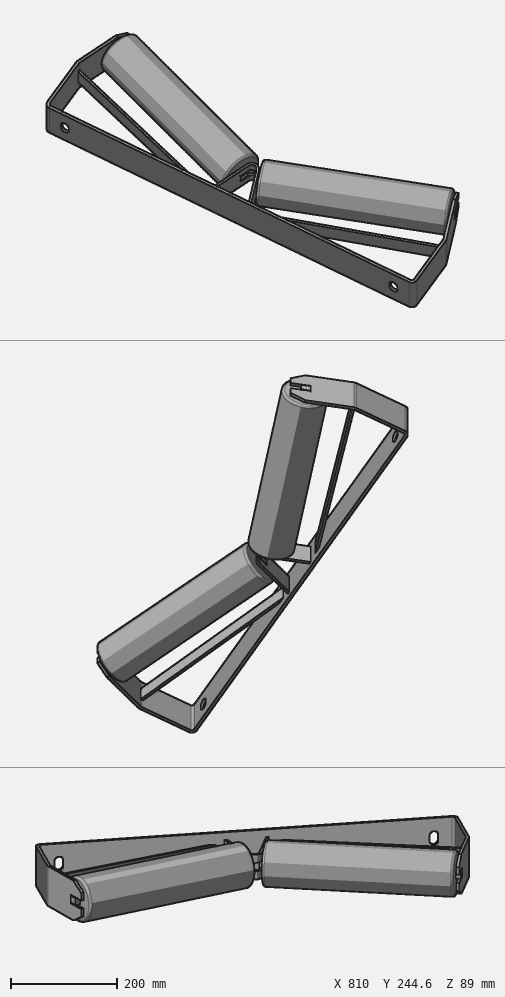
import cadquery as cq
import math


frame_length = 810.0
strip_thickness = 6.0
strip_width = 80.0
corner_outer_radius = 11.0
shoulder_outer_radius = 14.0
shoulder_height = 119.6
trough_angle = 20.0
arm_length = 123.0
arm_chamfer_along = 28.0
arm_chamfer_across = 16.0

mounting_slot_spacing = 720.0
mounting_slot_width = 17.0
mounting_slot_length = 27.0

roller_diameter = 89.0
roller_length = 365.0
roller_edge_radius = 5.0
roller_end_gap = 4.0
shaft_depth = 18.0
shaft_width = 14.0
seat_along_arm = 93.65
shaft_slot_width = 17.0

bracket_thickness = 5.0
bracket_width = 50.0
bracket_outer_radius = 14.0

strut_thickness = 5.0
strut_height = 34.0
strut_angle = 18.5

half_length = frame_length / 2
inner_half_length = half_length - strip_thickness
half_shaft_depth = shaft_depth / 2
sin_trough = math.sin(math.radians(trough_angle))
cos_trough = math.cos(math.radians(trough_angle))
tan_trough = sin_trough / cos_trough
shaft_length = strip_thickness + roller_length + 2 * roller_end_gap + bracket_thickness
bracket_face_along = shaft_length - bracket_thickness

seat_x = -half_length + seat_along_arm * sin_trough
seat_y = shoulder_height + seat_along_arm * cos_trough
left_axis = cq.Plane(
    origin=(seat_x, seat_y, 0),
    xDir=(sin_trough, cos_trough, 0),
    normal=(cos_trough, -sin_trough, 0),
)


def mirrored(left_body):
    return left_body.mirror("YZ")


def shaft_slot(start_along, depth, opening_length):
    """Cutter for an open-ended slot that seats the left shaft, starting along its axis."""
    return (
        cq.Workplane(left_axis)
        .workplane(offset=start_along)
        .center((opening_length - half_shaft_depth) / 2, 0)
        .rect(opening_length + half_shaft_depth, shaft_slot_width)
        .extrude(depth)
    )


def make_frame():
    arm_tip = (-half_length + arm_length * sin_trough, shoulder_height + arm_length * cos_trough)
    inner_shoulder = shoulder_height - strip_thickness * math.tan(math.radians(trough_angle / 2))
    inner_tip = (arm_tip[0] + strip_thickness * cos_trough, arm_tip[1] - strip_thickness * sin_trough)
    left_outline = [arm_tip, (-half_length, shoulder_height), (-half_length, 0)]
    left_inside = [(-inner_half_length, strip_thickness), (-inner_half_length, inner_shoulder), inner_tip]
    outside = left_outline + [(-x, y) for x, y in reversed(left_outline)]
    inside = [(-x, y) for x, y in reversed(left_inside)] + left_inside
    strip = (
        cq.Workplane("XY")
        .polyline(outside + inside)
        .close()
        .extrude(strip_width / 2, both=True)
    )

    bends = [
        (half_length, 0, corner_outer_radius),
        (inner_half_length, strip_thickness, corner_outer_radius - strip_thickness),
        (half_length, shoulder_height, shoulder_outer_radius),
        (inner_half_length, inner_shoulder, shoulder_outer_radius - strip_thickness),
    ]
    for x, y, radius in bends:
        for side in (-1, 1):
            bend_edge = cq.selectors.NearestToPointSelector((side * x, y, 0))
            strip = strip.edges(bend_edge).fillet(radius)

    beyond_seat = arm_length - seat_along_arm
    half_width = strip_width / 2
    for side in (-1, 1):
        taper = (
            cq.Workplane(left_axis)
            .polyline([
                (beyond_seat - arm_chamfer_along, side * half_width),
                (beyond_seat, side * half_width),
                (beyond_seat, side * (half_width - arm_chamfer_across)),
            ])
            .close()
            .extrude(strip_thickness)
        )
        strip = strip.cut(taper).cut(mirrored(taper))
    arm_slot = shaft_slot(0, strip_thickness, beyond_seat)
    strip = strip.cut(arm_slot).cut(mirrored(arm_slot))

    mounting_slots = (
        cq.Workplane("XZ")
        .pushPoints([(-mounting_slot_spacing / 2, 0), (mounting_slot_spacing / 2, 0)])
        .slot2D(mounting_slot_length, mounting_slot_width, angle=90)
        .extrude(-strip_thickness)
    )
    return strip.cut(mounting_slots)


def make_bracket():
    face_x = seat_x + bracket_face_along * cos_trough
    face_y = seat_y - bracket_face_along * sin_trough
    apex_y = face_y - face_x / tan_trough

    def folded_wedge(peak_y, radius):
        half_base = (peak_y - strip_thickness) * tan_trough
        return (
            cq.Workplane("XY")
            .polyline([(-half_base, strip_thickness), (0, peak_y), (half_base, strip_thickness)])
            .close()
            .extrude(bracket_width / 2, both=True)
            .edges(cq.selectors.NearestToPointSelector((0, peak_y, 0)))
            .fillet(radius)
        )

    outer = folded_wedge(apex_y, bracket_outer_radius)
    inner = folded_wedge(apex_y - bracket_thickness / sin_trough, bracket_outer_radius - bracket_thickness)
    slot_depth = -face_x / cos_trough
    slot = shaft_slot(bracket_face_along, slot_depth, apex_y - face_y)
    return outer.cut(inner).cut(slot).cut(mirrored(slot))


def make_left_strut(frame):
    start_x = -inner_half_length
    start_y = shoulder_height
    slope = math.tan(math.radians(strut_angle))
    drop = strut_thickness / math.cos(math.radians(strut_angle))
    top_foot_x = start_x + (start_y - strip_thickness) / slope
    bottom_foot_x = top_foot_x - drop / slope
    return (
        cq.Workplane("XY")
        .polyline([
            (start_x, start_y),
            (top_foot_x, strip_thickness),
            (bottom_foot_x, strip_thickness),
            (start_x, start_y - drop),
        ])
        .close()
        .extrude(strut_height / 2, both=True)
        .cut(frame)
    )


def make_left_roller():
    shaft = cq.Workplane(left_axis).rect(shaft_depth, shaft_width).extrude(shaft_length)
    roller = (
        cq.Workplane(left_axis)
        .workplane(offset=strip_thickness + roller_end_gap)
        .circle(roller_diameter / 2)
        .extrude(roller_length)
        .edges()
        .fillet(roller_edge_radius)
    )
    return roller.union(shaft)


frame = make_frame()
bracket = make_bracket()
left_strut = make_left_strut(frame)
left_roller = make_left_roller()
struts = [left_strut, mirrored(left_strut)]
rollers = [left_roller, mirrored(left_roller)]

result = cq.Compound.makeCompound(
    [frame.val(), bracket.val()]
    + [strut.val() for strut in struts]
    + [roller.val() for roller in rollers]
)